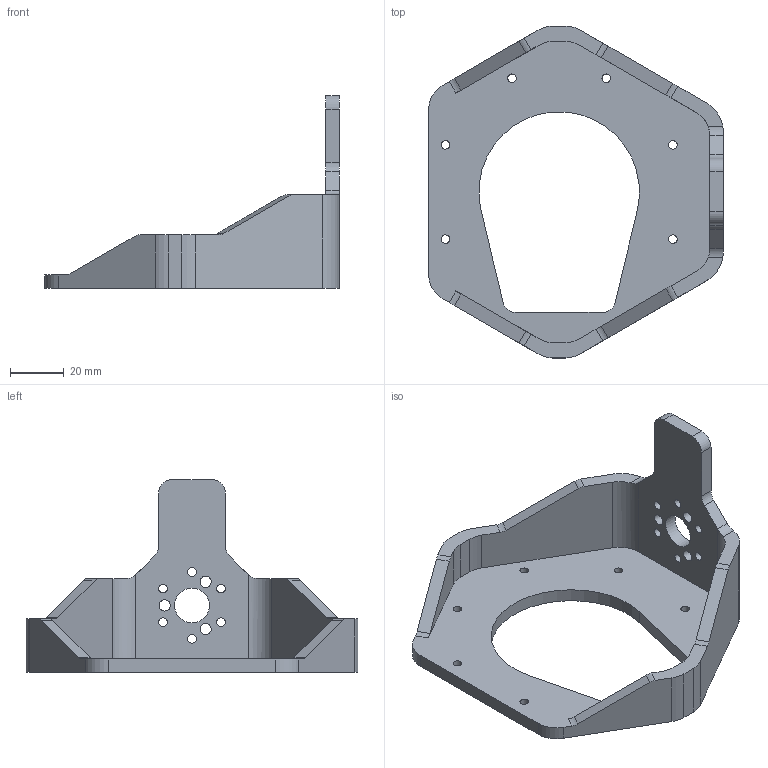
import cadquery as cq
import math

SIDE_ANGLE = math.pi / 6
HEX_RADIUS = 65.0
HEX_APOTHEM = HEX_RADIUS * math.cos(SIDE_ANGLE)
WALL = 5.0
RIGHT_X = HEX_APOTHEM + WALL
LENGTH_X = 110.0
LEFT_X = RIGHT_X - LENGTH_X
TIP_CUT = 3.0
CORNER_RADIUS = 10.0
PLATE_CORNER_RADIUS = 12.5

MID_HEIGHT = 20.0
HIGH_HEIGHT = 35.0
RAMP_RUN = 30.0
FRONT_RAMP_START = -13.75
REAR_RAMP_START = -12.5
BEND_RADIUS = 5.0

TOTAL_HEIGHT = 72.0
TAB_HALF_WIDTH = 12.5
TAB_FOOT_RISE = 10.0
TAB_CORNER_RADIUS = 5.0

OPENING_RADIUS = 30.0
OPENING_END_Y = -45.0
OPENING_END_HALF_WIDTH = 20.0
OPENING_CORNER_RADIUS = 5.0
SCREW_DIAMETER = 3.2
FLOOR_HOLE_RADIUS = 46.0
FLOOR_HOLE_COUNT = 6
FLOOR_HOLE_PITCH = 45.0
FLOOR_HOLE_FIRST_ANGLE = -22.5
BORE_Z = 25.0
BORE_DIAMETER = 13.0
PLATE_HOLE_CIRCLE_RADIUS = 12.5
PLATE_HOLE_COUNT = 6
PIN_DIAMETER = 4.2
PIN_CIRCLE_RADIUS = 10.2
PIN_COUNT = 3

CLEARANCE = 20.0
MARGIN = 1.0


def hexagon(apothem, left_x, right_x, bottom_z, height):
    """Prism with vertical sides at left_x and right_x, four sloped sides and cut +Y/-Y tips."""
    tip_y = apothem / math.cos(SIDE_ANGLE) - TIP_CUT
    tip_x = TIP_CUT / math.tan(SIDE_ANGLE)
    left_y = (apothem + left_x * math.sin(SIDE_ANGLE)) / math.cos(SIDE_ANGLE)
    right_y = (apothem - right_x * math.sin(SIDE_ANGLE)) / math.cos(SIDE_ANGLE)
    upper = [(left_x, left_y), (-tip_x, tip_y), (tip_x, tip_y), (right_x, right_y)]
    lower = [(x, -y) for x, y in reversed(upper)]
    return cq.Workplane("XY", origin=(0, 0, bottom_z)).polyline(upper + lower).close().extrude(height)


def make_blank():
    """Floor with a wall of full tab height round all sides but the left one."""
    outer = hexagon(HEX_APOTHEM, LEFT_X, RIGHT_X, 0, TOTAL_HEIGHT)
    outer = outer.edges("|Z").edges("not >X").fillet(CORNER_RADIUS)
    outer = outer.edges("|Z").edges(">X").fillet(PLATE_CORNER_RADIUS)
    pocket = hexagon(HEX_APOTHEM - WALL, LEFT_X - CLEARANCE, HEX_APOTHEM, WALL, TOTAL_HEIGHT)
    pocket = pocket.edges("|Z").edges("not <X").fillet(CORNER_RADIUS)
    return outer.cut(pocket)


def ramp_cutter(start, low_z, high_z, turn):
    """Space above a ramped wall top; the wall's normal is +Y turned by the given radians about Z."""
    inner_offset = HEX_APOTHEM - 2 * WALL
    top_z = HIGH_HEIGHT + CLEARANCE
    corner = HEX_RADIUS / 2
    outline = [
        (-HEX_RADIUS, low_z),
        (start, low_z),
        (start + RAMP_RUN, high_z),
        (corner, high_z),
        (corner, top_z),
        (-HEX_RADIUS, top_z),
    ]
    cutter = (
        cq.Workplane("XZ", origin=(0, inner_offset, 0))
        .polyline(outline).close()
        .extrude(-(2 * WALL + CLEARANCE))
    )
    bends = cq.selectors.BoxSelector(
        (start - MARGIN, 0, low_z - MARGIN), (start + RAMP_RUN + MARGIN, 2 * HEX_RADIUS, high_z + MARGIN))
    cutter = cutter.edges("|Y").edges(bends).fillet(BEND_RADIUS)
    return cutter.rotate((0, 0, 0), (0, 0, 1), math.degrees(turn))


def cut_ramps(body):
    """Cut both ramps on the +Y walls and mirror them to the -Y walls."""
    cutters = [
        ramp_cutter(FRONT_RAMP_START, WALL, MID_HEIGHT, SIDE_ANGLE),
        ramp_cutter(REAR_RAMP_START, MID_HEIGHT, HIGH_HEIGHT, -SIDE_ANGLE),
    ]
    for cutter in cutters:
        body = body.cut(cutter).cut(cutter.mirror("XZ"))
    return body


def trim_tab(body):
    """Lower the walls to their full height, leaving only the flared tab above it."""
    foot_half_width = TAB_HALF_WIDTH + TAB_FOOT_RISE
    right_half = [
        (HEX_RADIUS, 0),
        (HEX_RADIUS, HIGH_HEIGHT),
        (foot_half_width, HIGH_HEIGHT),
        (TAB_HALF_WIDTH, HIGH_HEIGHT + TAB_FOOT_RISE),
        (TAB_HALF_WIDTH, TOTAL_HEIGHT),
    ]
    left_half = [(-y, z) for y, z in reversed(right_half)]
    envelope = (
        cq.Workplane("YZ", origin=(-HEX_RADIUS, 0, 0))
        .polyline(right_half + left_half).close()
        .extrude(2 * HEX_RADIUS)
    )
    bends = cq.selectors.BoxSelector(
        (-HEX_RADIUS, -foot_half_width - MARGIN, HIGH_HEIGHT - MARGIN),
        (HEX_RADIUS, foot_half_width + MARGIN, TOTAL_HEIGHT - MARGIN),
    )
    envelope = envelope.edges("|X").edges(bends).fillet(BEND_RADIUS)
    envelope = envelope.edges("|X and >Z").fillet(TAB_CORNER_RADIUS)
    return body.intersect(envelope)


def cut_floor_openings(body):
    """Round opening narrowing along tangents to a flat end, and the screw holes round it."""
    end_distance = math.hypot(OPENING_END_HALF_WIDTH, OPENING_END_Y)
    tangent_angle = (
        math.atan2(OPENING_END_Y, OPENING_END_HALF_WIDTH)
        + math.acos(OPENING_RADIUS / end_distance)
    )
    tangent_x = OPENING_RADIUS * math.cos(tangent_angle)
    tangent_y = OPENING_RADIUS * math.sin(tangent_angle)
    opening = (
        cq.Workplane("XY")
        .moveTo(-OPENING_END_HALF_WIDTH, OPENING_END_Y)
        .lineTo(OPENING_END_HALF_WIDTH, OPENING_END_Y)
        .lineTo(tangent_x, tangent_y)
        .threePointArc((0, OPENING_RADIUS), (-tangent_x, tangent_y))
        .close()
        .extrude(WALL)
        .edges("|Z and <Y").fillet(OPENING_CORNER_RADIUS)
    )
    screw_holes = (
        cq.Workplane("XY")
        .polarArray(FLOOR_HOLE_RADIUS, FLOOR_HOLE_FIRST_ANGLE,
                    FLOOR_HOLE_PITCH, FLOOR_HOLE_COUNT, fill=False)
        .circle(SCREW_DIAMETER / 2)
        .extrude(WALL)
    )
    return body.cut(opening).cut(screw_holes)


def cut_plate_holes(body):
    """Central bore in the upright plate with six screw holes and three larger pin holes."""
    plane = cq.Workplane("YZ", origin=(HEX_APOTHEM - WALL, 0, BORE_Z))
    depth = 2 * WALL
    bore = plane.circle(BORE_DIAMETER / 2).extrude(depth)
    screws = (
        plane.polarArray(PLATE_HOLE_CIRCLE_RADIUS, 90, 360, PLATE_HOLE_COUNT)
        .circle(SCREW_DIAMETER / 2).extrude(depth)
    )
    pins = (
        plane.polarArray(PIN_CIRCLE_RADIUS, 0, 360, PIN_COUNT)
        .circle(PIN_DIAMETER / 2).extrude(depth)
    )
    return body.cut(bore).cut(screws).cut(pins)


body = make_blank()
body = trim_tab(body)
body = cut_ramps(body)
body = cut_floor_openings(body)
result = cut_plate_holes(body)